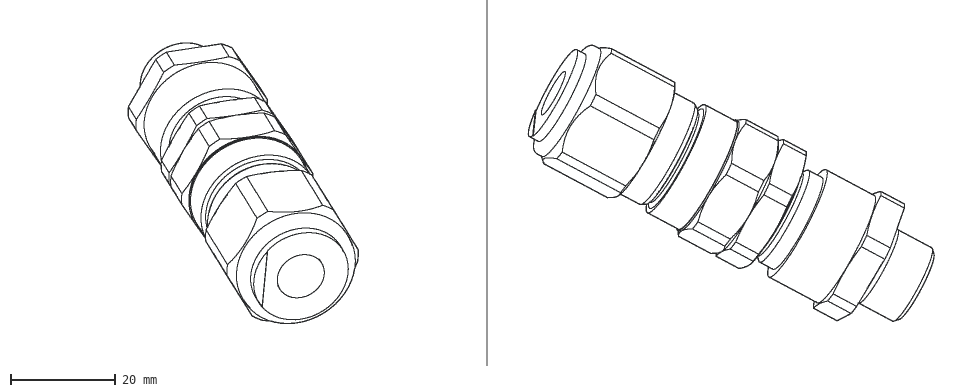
import cadquery as cq
import math

total_length = 80.0
across_flats = 24.0
corner_radius = 13.2
flat_radius = across_flats / 2
cap_twist = -2.6
bore_radius = 4.7
bore_chamfer = 0.8

thread_radius = 8.0
thread_tip_chamfer = 0.8
thread_end = 8.3
thread_relief_start = 9.1
thread_relief_end = 9.4
thread_relief_radius = 7.0

entry_nut_start = 9.9
entry_nut_end = 15.4
entry_nut_chamfer = 0.3
sleeve_radius = 11.7
sleeve_end = 26.1

neck_radius = 10.0
neck_end = 29.0
neck_relief_radius = 9.1
neck_relief_start = 29.9
neck_relief_end = 30.5

front_nut_start = 31.1
twin_nut_joint = 37.0
rear_nut_end = 45.7
front_nut_chamfer = 0.4
rear_nut_chamfer = 0.8
washer_end = 46.0
collar_radius = 11.8
collar_end = 52.8
collar_lip_radius = 10.8

shoulder_radius = 11.0
groove_radius = 9.8
groove_start = 53.3
groove_end = 53.9
groove_side_radius = 10.5
shoulder_start = 54.9

cap_start = 59.8
cap_end = 76.0
cap_front_chamfer = 0.6
cap_rear_chamfer = 1.5
rim_radius = 11.8
rim_end = 78.0
rim_fillet = 1.0
seal_radius = 9.5
seal_step = 0.2
seal_segment_offset = 7.3
seal_segment_twist = -5.0


def turned(points):
    """Solid of revolution about X from (x, radius) points."""
    outline = [(points[0][0], 0)] + points + [(points[-1][0], 0)]
    return cq.Workplane("XY").polyline(outline).close().revolve(360, (0, 0, 0), (1, 0, 0))


def hex_nut(start, end, front_chamfer, rear_chamfer, rear_radius=flat_radius, twist=0):
    """Hexagon with flats facing +Z and -Z, its corners turned round and chamfered at both ends."""
    across_corners = across_flats / math.cos(math.pi / 6)
    hexagon = cq.Workplane("YZ", origin=(start, 0, 0)).polygon(6, across_corners).extrude(end - start)
    envelope = [(start, corner_radius)]
    if front_chamfer:
        envelope = [(start, flat_radius), (start + front_chamfer, corner_radius)]
    envelope += [(end - rear_chamfer, corner_radius), (end, rear_radius)]
    return hexagon.intersect(turned(envelope)).rotate((0, 0, 0), (1, 0, 0), twist)


core = turned([
    (0, thread_radius - thread_tip_chamfer),
    (thread_tip_chamfer, thread_radius),
    (thread_end, thread_radius),
    (thread_relief_start, thread_relief_radius),
    (thread_relief_end, thread_relief_radius),
    (entry_nut_start, thread_radius),
    (entry_nut_start, sleeve_radius),
    (sleeve_end, sleeve_radius),
    (sleeve_end, neck_radius),
    (neck_end, neck_radius),
    (neck_relief_start, neck_relief_radius),
    (neck_relief_end, neck_relief_radius),
    (front_nut_start, neck_radius),
    (front_nut_start, flat_radius),
    (washer_end, flat_radius),
    (washer_end, collar_radius),
    (collar_end, collar_radius),
    (collar_end, collar_lip_radius),
    (groove_start, groove_radius),
    (groove_end, groove_radius),
    (groove_end, groove_side_radius),
    (shoulder_start, shoulder_radius),
    (cap_start, shoulder_radius),
])

entry_nut = hex_nut(entry_nut_start, entry_nut_end, 0, entry_nut_chamfer)
front_nut = hex_nut(front_nut_start, twin_nut_joint, front_nut_chamfer, front_nut_chamfer)
rear_nut = hex_nut(twin_nut_joint, rear_nut_end, rear_nut_chamfer, rear_nut_chamfer)
cap_nut = hex_nut(cap_start, cap_end, cap_front_chamfer, cap_rear_chamfer, rim_radius, cap_twist)

rim = turned([(cap_start, rim_radius), (rim_end, rim_radius)]).faces(">X").edges().fillet(rim_fillet)

seal = turned([(cap_start, seal_radius), (total_length - seal_step, seal_radius)])
seal_segment = (
    turned([(rim_end, seal_radius), (total_length, seal_radius)])
    .intersect(
        cq.Workplane("XY")
        .box(total_length, seal_radius, 2 * seal_radius, centered=(False, False, True))
        .translate((rim_end, -seal_radius - seal_segment_offset, 0))
    )
    .rotate((0, 0, 0), (1, 0, 0), seal_segment_twist)
)

bore = turned([
    (0, bore_radius + bore_chamfer),
    (bore_chamfer, bore_radius),
    (total_length, bore_radius),
])

result = core
for piece in (entry_nut, front_nut, rear_nut, cap_nut, rim, seal, seal_segment):
    result = result.union(piece)
result = result.cut(bore)